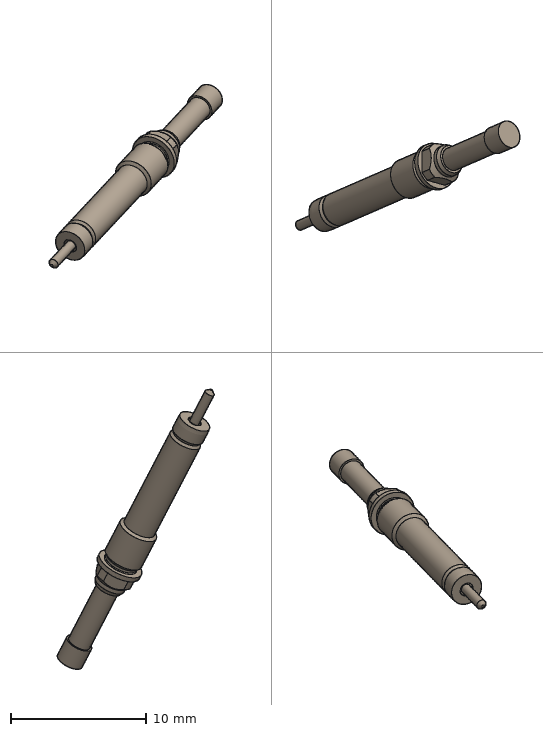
import cadquery as cq

LENGTH = 25.0

CAP_RADIUS = 1.02
CAP_END = 1.68
STEM_RADIUS = 0.88
STEM_END = 6.78

COLLAR_RADIUS = 1.2
COLLAR_CHAMFER_LENGTH = 0.3
COLLAR_CHAMFER_DEPTH = 0.15
COLLAR_END = 7.4

WRENCH_ACROSS_FLATS = 2.68
WRENCH_CORNER_RADIUS = 1.58
WRENCH_LEAD_LENGTH = 0.35

FLANGE_RADIUS = 1.75
FLANGE_START = 8.6
FLANGE_END = 8.98
NECK_RADIUS = 1.25
NECK_END = 9.25
NECK_FLARE = 0.08

SHOULDER_RADIUS = 1.5
SHOULDER_START = 9.5
SHOULDER_END = 12.12
SHOULDER_CHAMFER_LENGTH = 0.18

BARREL_RADIUS = 1.25
GROOVE_RADIUS = 1.1
GROOVE_START = 20.42
GROOVE_WIDTH = 0.45
BARREL_END = 22.1
END_RING_WIDTH = 0.35
END_RING_TAPER = 0.02

PIN_RADIUS = 0.38
PIN_TIP_RADIUS = 0.1
PIN_TIP_LENGTH = PIN_RADIUS - PIN_TIP_RADIUS
RECESS_RADIUS = 0.52
RECESS_DEPTH = 0.12


def turned_body():
    """Revolve the stepped half profile, listed as (radius, station)."""
    profile = [
        (0, 0),
        (CAP_RADIUS, 0),
        (CAP_RADIUS, CAP_END),
        (STEM_RADIUS, CAP_END),
        (STEM_RADIUS, STEM_END),
        (COLLAR_RADIUS - COLLAR_CHAMFER_DEPTH, STEM_END),
        (COLLAR_RADIUS, STEM_END + COLLAR_CHAMFER_LENGTH),
        (COLLAR_RADIUS, COLLAR_END),
        (WRENCH_CORNER_RADIUS, COLLAR_END + WRENCH_LEAD_LENGTH),
        (WRENCH_CORNER_RADIUS, FLANGE_START),
        (FLANGE_RADIUS, FLANGE_START),
        (FLANGE_RADIUS, FLANGE_END),
        (NECK_RADIUS + NECK_FLARE, FLANGE_END),
        (NECK_RADIUS, FLANGE_END + NECK_FLARE),
        (NECK_RADIUS, NECK_END),
        (SHOULDER_RADIUS, SHOULDER_START),
        (SHOULDER_RADIUS, SHOULDER_END),
        (BARREL_RADIUS, SHOULDER_END + SHOULDER_CHAMFER_LENGTH),
        (BARREL_RADIUS, GROOVE_START),
        (GROOVE_RADIUS, GROOVE_START + GROOVE_WIDTH / 2),
        (BARREL_RADIUS, GROOVE_START + GROOVE_WIDTH),
        (BARREL_RADIUS, BARREL_END - END_RING_WIDTH),
        (BARREL_RADIUS - END_RING_TAPER, BARREL_END),
        (RECESS_RADIUS, BARREL_END),
        (RECESS_RADIUS, BARREL_END - RECESS_DEPTH),
        (PIN_RADIUS, BARREL_END - RECESS_DEPTH),
        (PIN_RADIUS, LENGTH - PIN_TIP_LENGTH),
        (PIN_TIP_RADIUS, LENGTH),
        (0, LENGTH),
    ]
    points = [(radius, LENGTH / 2 - station) for radius, station in profile]
    return cq.Workplane("XY").polyline(points).close().revolve(360, (0, 0, 0), (0, 1, 0))


def wrench_flats():
    """Square tube that trims the wrench section, between the collar and the flange."""
    outer_side = 3 * WRENCH_CORNER_RADIUS
    return (
        cq.Workplane("XZ", origin=(0, LENGTH / 2 - COLLAR_END, 0))
        .rect(outer_side, outer_side)
        .rect(WRENCH_ACROSS_FLATS, WRENCH_ACROSS_FLATS)
        .extrude(FLANGE_START - COLLAR_END)
    )


result = turned_body().cut(wrench_flats())